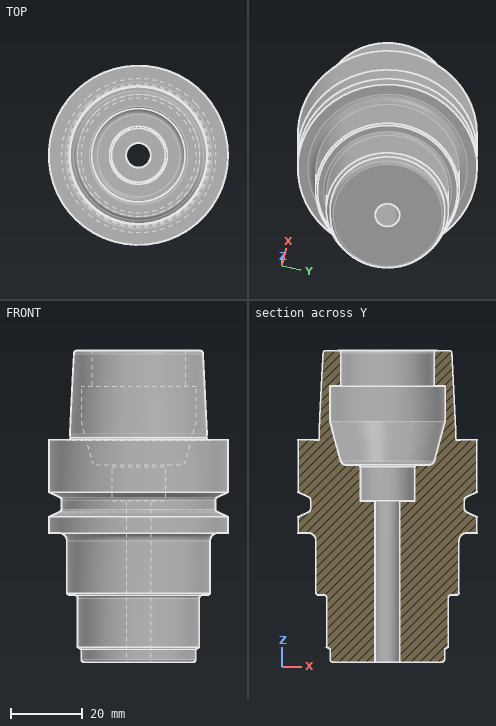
import cadquery as cq
import math


taper_length = 24.9
taper_start_z = 1.6
taper_base_radius = 19.15
taper_ratio = 9.98
taper_tip_fillet = 1.0

collar_radius = 38.11 / 2
collar_top_z = 1.1
collar_bottom_z = 0.5
collar_foot_radius = 38.51 / 2
relief_floor_radius = 19.7
relief_radius = 20.45
relief_depth = 0.1

flange_radius = 50 / 2
flange_length = 26.0
groove_radius = 43 / 2
groove_center_z = -18.05
groove_width = 6.86
groove_flank_angle = 25.0
groove_fillet = 0.75

body_radius = 40 / 2
body_bottom_z = -43.3
body_top_fillet = 2.2
body_chamfer = 0.5
step_radius = 34 / 2
step_top_fillet = 0.8
step_bottom_z = -57.8
step_bevel_angle = 30.0
tip_radius = 32 / 2
tip_bottom_z = -62.0
tip_fillet = 0.8

mouth_radius = 26 / 2
mouth_depth = 10.0
mouth_fillet = 0.7
cavity_radius = 32 / 2
cavity_straight_end = 19.7
cavity_floor_radius = 12.73
cavity_cone_angle = 75.0
cavity_floor_fillet = 1.6
counterbore_radius = 15 / 2
counterbore_depth = 10.0
counterbore_chamfer = 0.55
coolant_radius = 6.8 / 2


def fillet_midpoint(center_r, center_z, radius):
    """Middle of an inside-corner fillet arc: up and inward of its centre."""
    offset = radius * math.sqrt(0.5)
    return center_r - offset, center_z + offset


def make_body():
    taper_tip_radius = taper_base_radius - (taper_length - taper_start_z) / taper_ratio / 2
    body_fillet_r = body_radius + body_top_fillet
    body_fillet_z = -flange_length - body_top_fillet
    step_fillet_r = step_radius + step_top_fillet
    step_fillet_z = body_bottom_z - step_top_fillet
    bevel_drop = (step_radius - tip_radius) * math.tan(math.radians(step_bevel_angle))
    profile = (
        cq.Workplane("XZ")
        .moveTo(0, taper_length)
        .lineTo(taper_tip_radius, taper_length)
        .lineTo(taper_base_radius, taper_start_z)
        .lineTo(collar_radius, collar_top_z)
        .lineTo(collar_radius, collar_bottom_z)
        .lineTo(collar_foot_radius, -relief_depth)
        .lineTo(relief_floor_radius, -relief_depth)
        .lineTo(relief_radius, 0)
        .lineTo(flange_radius, 0)
        .lineTo(flange_radius, -flange_length)
        .lineTo(body_fillet_r, -flange_length)
        .threePointArc(
            fillet_midpoint(body_fillet_r, body_fillet_z, body_top_fillet),
            (body_radius, body_fillet_z),
        )
        .lineTo(body_radius, body_bottom_z + body_chamfer)
        .lineTo(body_radius - body_chamfer, body_bottom_z)
        .lineTo(step_fillet_r, body_bottom_z)
        .threePointArc(
            fillet_midpoint(step_fillet_r, step_fillet_z, step_top_fillet),
            (step_radius, step_fillet_z),
        )
        .lineTo(step_radius, step_bottom_z)
        .lineTo(tip_radius, step_bottom_z - bevel_drop)
        .lineTo(tip_radius, tip_bottom_z)
        .lineTo(0, tip_bottom_z)
        .close()
    )
    body = profile.revolve(360, (0, 0, 0), (0, 1, 0))
    body = body.faces(">Z").edges().fillet(taper_tip_fillet)
    return body.faces("<Z").edges().fillet(tip_fillet)


def make_groove():
    half_width = groove_width / 2
    flank_rise = (flange_radius - groove_radius) * math.tan(math.radians(groove_flank_angle))
    half_floor = half_width - flank_rise
    groove = (
        cq.Workplane("XZ")
        .moveTo(groove_radius, groove_center_z + half_floor)
        .lineTo(flange_radius, groove_center_z + half_width)
        .lineTo(flange_radius, groove_center_z - half_width)
        .lineTo(groove_radius, groove_center_z - half_floor)
        .close()
        .revolve(360, (0, 0, 0), (0, 1, 0))
    )
    floor_edges = cq.selectors.RadiusNthSelector(0)
    return groove.edges(floor_edges).fillet(groove_fillet)


def cylinder_down(radius, top_z, depth):
    return cq.Workplane("XY").workplane(offset=top_z - depth).circle(radius).extrude(depth)


def make_cavity(top_z, straight_end_z, floor_z):
    cavity = (
        cq.Workplane("XZ")
        .moveTo(0, top_z)
        .lineTo(cavity_radius, top_z)
        .lineTo(cavity_radius, straight_end_z)
        .lineTo(cavity_floor_radius, floor_z)
        .lineTo(0, floor_z)
        .close()
        .revolve(360, (0, 0, 0), (0, 1, 0))
    )
    return cavity.faces("<Z").edges().fillet(cavity_floor_fillet)


def make_counterbore(top_z):
    chamfer_radius = counterbore_radius + counterbore_chamfer
    return (
        cq.Workplane("XZ")
        .moveTo(0, top_z)
        .lineTo(chamfer_radius, top_z)
        .lineTo(counterbore_radius, top_z - counterbore_chamfer)
        .lineTo(counterbore_radius, top_z - counterbore_depth)
        .lineTo(0, top_z - counterbore_depth)
        .close()
        .revolve(360, (0, 0, 0), (0, 1, 0))
    )


def make_bore():
    cavity_top_z = taper_length - mouth_depth
    straight_end_z = taper_length - cavity_straight_end
    cone_drop = (cavity_radius - cavity_floor_radius) * math.tan(math.radians(cavity_cone_angle))
    floor_z = straight_end_z - cone_drop
    mouth = cylinder_down(mouth_radius, taper_length, mouth_depth)
    cavity = make_cavity(cavity_top_z, straight_end_z, floor_z)
    counterbore = make_counterbore(floor_z)
    coolant = cylinder_down(coolant_radius, floor_z, floor_z - tip_bottom_z)
    return mouth.union(cavity).union(counterbore).union(coolant)


def round_mouth(part):
    mouth_edge = cq.selectors.RadiusNthSelector(0)
    return part.faces(">Z").edges(mouth_edge).fillet(mouth_fillet)


result = round_mouth(make_body().cut(make_groove()).cut(make_bore()))